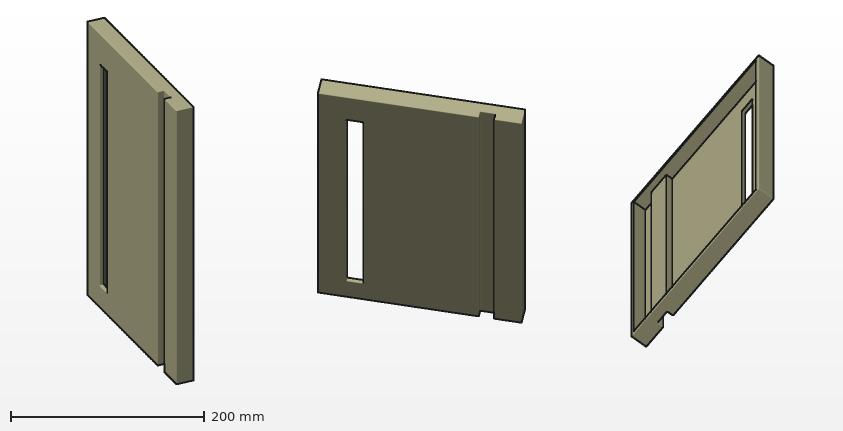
import cadquery as cq

width = 215.0
depth = 20.0
height = 322.5
wall = 4.8
edge_radius = 0.8

slot_left_margin = 30.3
slot_bottom_margin = 26.0
slot_width = 17.5
slot_height = 260.0

groove_left_margin = 170.0
groove_width = 15.8
groove_depth = 7.7

left = -width / 2
front = -depth / 2
bottom = -height / 2
groove_center_x = left + groove_left_margin + groove_width / 2


def block_from_front(size_x, size_y, size_z, center_x, start_y, center_z):
    """Box that starts at start_y and runs size_y toward the back."""
    block = cq.Workplane("XY").box(size_x, size_y, size_z)
    return block.translate((center_x, start_y + size_y / 2, center_z))


def make_slot():
    center_x = left + slot_left_margin + slot_width / 2
    center_z = bottom + slot_bottom_margin + slot_height / 2
    return block_from_front(slot_width, depth, slot_height, center_x, front, center_z)


def make_groove():
    return block_from_front(groove_width, groove_depth, height, groove_center_x, front, 0)


def make_hollow():
    """Space behind the front wall, leaving a wall of material around the groove."""
    inner_height = height - 2 * wall
    space = block_from_front(
        width - 2 * wall, depth - wall, inner_height, 0, front + wall, 0
    )
    groove_backing = block_from_front(
        groove_width + 2 * wall, groove_depth + wall, inner_height, groove_center_x, front, 0
    )
    return space.cut(groove_backing)


outer_shape = cq.Workplane("XY").box(width, depth, height)
outer_shape = outer_shape.cut(make_groove()).cut(make_slot())
outer_shape = outer_shape.edges().fillet(edge_radius)

result = outer_shape.cut(make_hollow())